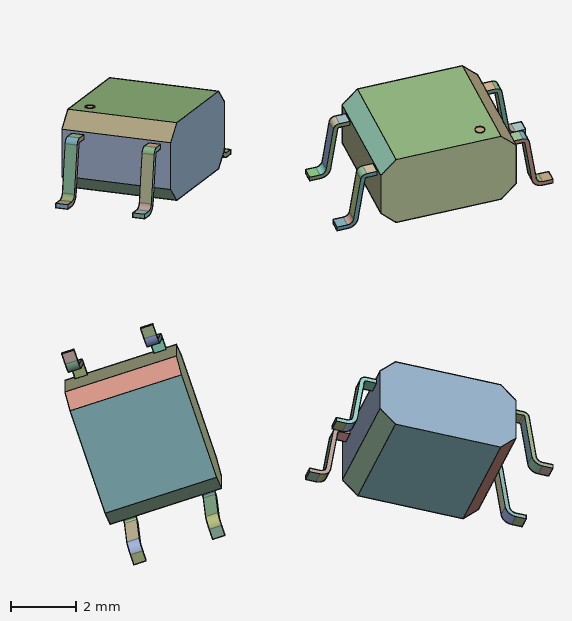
import cadquery as cq
import math

total_length = 7.0
housing_width = 3.6
housing_length = 4.395
housing_height = 2.5
standoff = 0.1
housing_chamfer = 0.5

lead_pitch = 2.54
lead_width = 0.4
lead_thickness = 0.15
lead_top = 2.01
shoulder_length = 0.51
foot_length = 0.51
large_bend_radius = 0.2
knee_inner_radius = large_bend_radius - lead_thickness
ankle_outer_radius = large_bend_radius + lead_thickness

dot_diameter = 0.3
dot_depth = 0.02
dot_from_end = 1.0

housing_end = housing_length / 2
housing_top = standoff + housing_height


def make_housing():
    """Block with its four long edges chamfered and a shallow pin 1 dot."""
    block = (
        cq.Workplane("XY")
        .box(housing_width, housing_length, housing_height, centered=(True, True, False))
        .translate((0, 0, standoff))
        .edges("|X")
        .chamfer(housing_chamfer)
    )
    dot = (
        cq.Workplane("XY", origin=(-lead_pitch / 2, dot_from_end - housing_end, housing_top))
        .circle(dot_diameter / 2)
        .extrude(-dot_depth)
    )
    return block.cut(dot)


def make_lead():
    """Gull-wing lead on the +Y side, centred on X = 0."""
    tip = total_length / 2
    knee = housing_end + shoulder_length
    ankle = tip - foot_length
    bend_angle = math.atan2(lead_top - lead_thickness, ankle - knee)
    corner_shift = lead_thickness * math.tan(bend_angle / 2)

    knee_outside = (knee, lead_top)
    knee_inside = (knee - corner_shift, lead_top - lead_thickness)
    ankle_inside = (ankle, lead_thickness)
    ankle_outside = (ankle - corner_shift, 0)
    lead = (
        cq.Workplane("YZ")
        .polyline([
            (housing_end, lead_top),
            knee_outside,
            ankle_inside,
            (tip, lead_thickness),
            (tip, 0),
            ankle_outside,
            knee_inside,
            (housing_end, lead_top - lead_thickness),
        ])
        .close()
        .extrude(lead_width / 2, both=True)
    )
    bends = [
        (knee_outside, large_bend_radius),
        (knee_inside, knee_inner_radius),
        (ankle_inside, large_bend_radius),
        (ankle_outside, ankle_outer_radius),
    ]
    for (y, z), radius in bends:
        corner_edge = cq.selectors.NearestToPointSelector((0, y, z))
        lead = lead.edges(corner_edge).fillet(radius)
    return lead


housing = make_housing()

leads = []
for side_angle in (0, 180):
    for x in (-lead_pitch / 2, lead_pitch / 2):
        lead = make_lead().rotate((0, 0, 0), (0, 0, 1), side_angle).translate((x, 0, 0))
        leads.append(lead.val())

result = cq.Compound.makeCompound([housing.val(), *leads])